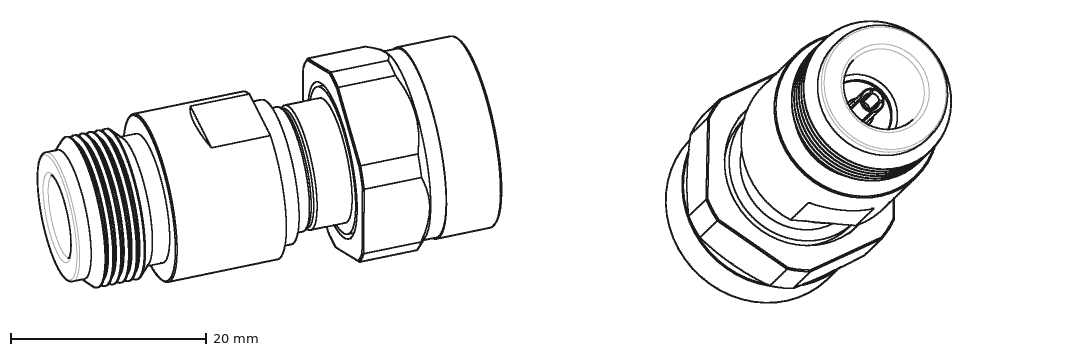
import cadquery as cq
import math

LENGTH = 45.35

SOCKET_RADIUS = 6.75
SOCKET_FILLET = 0.23
BORE_RADIUS = 4.3
BORE_FLOOR_RADIUS = 4.1
BORE_MOUTH_FILLET = 0.4
BORE_DEPTH = 9.05
FLOOR_RECESS_RADIUS = 3.5
FLOOR_RECESS_DEPTH = 0.45
FLOOR_Y = BORE_DEPTH + FLOOR_RECESS_DEPTH

CONTACT_TIP_Y = 4.55
CONTACT_RADIUS = 1.25
CONTACT_HOLE_RADIUS = 0.85
CONTACT_HOLE_DEPTH = 3.65
CONTACT_MOUTH_CHAMFER = 0.3
COLLAR_RADIUS = 1.55
COLLAR_HEIGHT = 0.45
SLOT_WIDTH = 0.23

CREST_RADIUS = 7.9
CREST_COUNT = 6
FIRST_CREST_Y = 2.68
LAST_CREST_Y = 6.9
PITCH = (LAST_CREST_Y - FIRST_CREST_Y) / (CREST_COUNT - 1)
THREAD_HALF_ANGLE = math.radians(30)
THREAD_FLAT = PITCH / 8
THREAD_DEPTH = (PITCH / 2 - THREAD_FLAT) / math.tan(THREAD_HALF_ANGLE)
THREAD_CONE_RUN = CREST_RADIUS - SOCKET_RADIUS

BARREL_RADIUS = 8.8
BARREL_START_Y = 9.95
BARREL_END_Y = 21.8
BARREL_CHAMFER = 0.15
FLAT_HALF_SPAN = 8.05
FLAT_START_Y = 15.45
FLAT_CUT_HEIGHT = 2 * (BARREL_RADIUS - FLAT_HALF_SPAN)

SHOULDER_RADIUS = 7.57
SHOULDER_END_Y = 23.6
NECK_RADIUS = 6.55
NECK_CHAMFER = 0.25
NECK_GROOVE_START_Y = 25.3
NECK_GROOVE_WIDTH = 0.25
NECK_GROOVE_RADIUS = 4.65

NUT_START_Y = 29.6
FLANGE_RADIUS = 7.7
FLANGE_THICKNESS = 1.8
FLANGE_END_Y = NUT_START_Y + FLANGE_THICKNESS
TAIL_RADIUS = 2.95

NUT_END_Y = 44.62
HEX_FLATS = 20.1
HEX_CORNER_DIAMETER = 21.9
HEX_TILT = 1.2
HEX_END_Y = 35.9
HEX_CHAMFER = 0.15
NUT_WAIST_RADIUS = 9.9
SLEEVE_RADIUS = 10.0
SLEEVE_START_Y = 38.65
SLEEVE_CHAMFER = 0.2
NUT_RECESS_RADIUS = 8.2


def revolved(points):
    """Solid of revolution about the Y axis from (radius, y) points."""
    outline = [(y, radius) for radius, y in points]
    return cq.Workplane("YZ").polyline(outline).close().revolve(360, (0, 0, 0), (1, 0, 0))


def cylinder(radius, start_y, end_y):
    return revolved([(0, start_y), (radius, start_y), (radius, end_y), (0, end_y)])


def thread_outline():
    """Crests and roots that are both flat, between cones down to the socket radius."""
    half_flat = THREAD_FLAT / 2
    root_radius = CREST_RADIUS - THREAD_DEPTH
    points = [(SOCKET_RADIUS, FIRST_CREST_Y - half_flat - THREAD_CONE_RUN)]
    for crest in range(CREST_COUNT):
        crest_y = FIRST_CREST_Y + crest * PITCH
        if crest > 0:
            root_y = crest_y - PITCH / 2
            points.append((root_radius, root_y - half_flat))
            points.append((root_radius, root_y + half_flat))
        points.append((CREST_RADIUS, crest_y - half_flat))
        points.append((CREST_RADIUS, crest_y + half_flat))
    points.append((SOCKET_RADIUS, LAST_CREST_Y + half_flat + THREAD_CONE_RUN))
    return points


def body_outside():
    groove_end_y = NECK_GROOVE_START_Y + NECK_GROOVE_WIDTH
    shape = revolved([
        (0, 0),
        (SOCKET_RADIUS, 0),
        *thread_outline(),
        (SOCKET_RADIUS, BARREL_START_Y),
        (BARREL_RADIUS - BARREL_CHAMFER, BARREL_START_Y),
        (BARREL_RADIUS, BARREL_START_Y + BARREL_CHAMFER),
        (BARREL_RADIUS, BARREL_END_Y),
        (SHOULDER_RADIUS, BARREL_END_Y),
        (SHOULDER_RADIUS, SHOULDER_END_Y),
        (NECK_RADIUS, SHOULDER_END_Y),
        (NECK_RADIUS, NECK_GROOVE_START_Y - NECK_CHAMFER),
        (NECK_RADIUS - NECK_CHAMFER, NECK_GROOVE_START_Y),
        (NECK_GROOVE_RADIUS, NECK_GROOVE_START_Y),
        (NECK_GROOVE_RADIUS, groove_end_y),
        (NECK_RADIUS - NECK_CHAMFER, groove_end_y),
        (NECK_RADIUS, groove_end_y + NECK_CHAMFER),
        (NECK_RADIUS, NUT_START_Y),
        (FLANGE_RADIUS, NUT_START_Y),
        (FLANGE_RADIUS, FLANGE_END_Y),
        (TAIL_RADIUS, FLANGE_END_Y),
        (TAIL_RADIUS, LENGTH),
        (0, LENGTH),
    ])
    return shape.faces("<Y").edges().fillet(SOCKET_FILLET)


def wrench_flat_cutter():
    """Prism above the +Z flat; its front end is a 45 degree ramp."""
    top = FLAT_HALF_SPAN + FLAT_CUT_HEIGHT
    return (
        cq.Workplane("YZ")
        .moveTo(FLAT_START_Y, FLAT_HALF_SPAN)
        .lineTo(BARREL_END_Y, FLAT_HALF_SPAN)
        .lineTo(BARREL_END_Y, top)
        .lineTo(FLAT_START_Y - FLAT_CUT_HEIGHT, top)
        .close()
        .extrude(BARREL_RADIUS, both=True)
    )


def socket_bore():
    """Tapered bore with a recessed floor; the rounded mouth flares onto the end face."""
    mouth_radius = BORE_RADIUS + BORE_MOUTH_FILLET
    round_middle = BORE_MOUTH_FILLET * (1 - math.sqrt(0.5))
    return (
        cq.Workplane("YZ")
        .moveTo(0, 0)
        .lineTo(0, mouth_radius)
        .threePointArc((round_middle, BORE_RADIUS + round_middle), (BORE_MOUTH_FILLET, BORE_RADIUS))
        .lineTo(BORE_DEPTH, BORE_FLOOR_RADIUS)
        .lineTo(BORE_DEPTH, FLOOR_RECESS_RADIUS)
        .lineTo(FLOOR_Y, FLOOR_RECESS_RADIUS)
        .lineTo(FLOOR_Y, 0)
        .close()
        .revolve(360, (0, 0, 0), (1, 0, 0))
    )


def centre_contact():
    """Slotted tube standing on a collar at the bottom of the socket bore."""
    hole_end_y = CONTACT_TIP_Y + CONTACT_HOLE_DEPTH
    contact = cylinder(CONTACT_RADIUS, CONTACT_TIP_Y, FLOOR_Y)
    contact = contact.union(cylinder(COLLAR_RADIUS, FLOOR_Y - COLLAR_HEIGHT, FLOOR_Y))
    contact = contact.cut(revolved([
        (0, CONTACT_TIP_Y),
        (CONTACT_HOLE_RADIUS + CONTACT_MOUTH_CHAMFER, CONTACT_TIP_Y),
        (CONTACT_HOLE_RADIUS, CONTACT_TIP_Y + CONTACT_MOUTH_CHAMFER),
        (CONTACT_HOLE_RADIUS, hole_end_y),
        (0, hole_end_y),
    ]))
    slot = cq.Workplane("XY").box(2 * CONTACT_RADIUS, CONTACT_HOLE_DEPTH, SLOT_WIDTH)
    slot = slot.translate((0, CONTACT_TIP_Y + CONTACT_HOLE_DEPTH / 2, 0))
    for angle in (0, 90):
        contact = contact.cut(slot.rotate((0, 0, 0), (0, 1, 0), angle))
    return contact


def connector_body():
    body = body_outside()
    flat = wrench_flat_cutter()
    for angle in (0, 180):
        body = body.cut(flat.rotate((0, 0, 0), (0, 1, 0), angle))
    return body.cut(socket_bore()).union(centre_contact())


def hex_section():
    """Hexagon turned slightly from flats facing X; a turned profile rounds and chamfers its corners."""
    corner_radius = HEX_CORNER_DIAMETER / 2
    flats_facing_x = 30
    cone_run = corner_radius - NUT_WAIST_RADIUS
    prism = (
        cq.Workplane("XZ", origin=(0, NUT_START_Y, 0))
        .polygon(6, HEX_FLATS / math.cos(math.pi / 6))
        .extrude(-(HEX_END_Y + cone_run - NUT_START_Y))
        .rotate((0, 0, 0), (0, 1, 0), flats_facing_x + HEX_TILT)
        .faces("<Y").chamfer(HEX_CHAMFER)
    )
    turned = revolved([
        (0, NUT_START_Y),
        (corner_radius - HEX_CHAMFER, NUT_START_Y),
        (corner_radius, NUT_START_Y + HEX_CHAMFER),
        (corner_radius, HEX_END_Y),
        (NUT_WAIST_RADIUS, HEX_END_Y + cone_run),
        (0, HEX_END_Y + cone_run),
    ])
    return prism.intersect(turned)


def coupling_nut():
    sleeve = revolved([
        (0, HEX_END_Y),
        (NUT_WAIST_RADIUS, HEX_END_Y),
        (NUT_WAIST_RADIUS, SLEEVE_START_Y),
        (SLEEVE_RADIUS, SLEEVE_START_Y),
        (SLEEVE_RADIUS, NUT_END_Y - SLEEVE_CHAMFER),
        (SLEEVE_RADIUS - SLEEVE_CHAMFER, NUT_END_Y),
        (0, NUT_END_Y),
    ])
    nut = hex_section().union(sleeve)
    nut = nut.cut(cylinder(NUT_RECESS_RADIUS, NUT_START_Y, FLANGE_END_Y))
    return nut.cut(cylinder(TAIL_RADIUS, FLANGE_END_Y, NUT_END_Y))


body = connector_body()
nut = coupling_nut()
result = cq.Compound.makeCompound([body.val(), nut.val()])